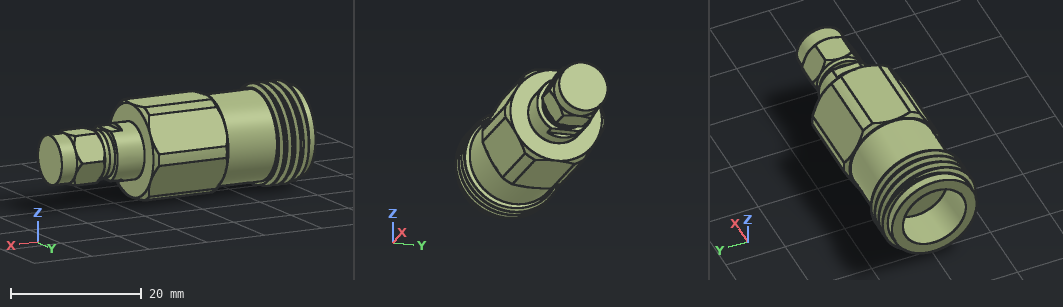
import cadquery as cq
import math

total_length = 42.4
thread_start = 1.55
thread_end = 6.75
main_hex_start = 15.25
main_hex_end = 28.35
flats_start = 31.1
collar_end = 33.05
nut_start = 34.0
nut_hex_start = 34.85
nut_hex_end = 39.8

barrel_radius = 14.3 / 2
bore_radius = 5.3
bore_depth = thread_end

thread_radius = 16.0 / 2
thread_root_radius = 7.25
thread_pitch = 4.3 / 3
thread_crest_width = 0.15
thread_base_width = 1.05
thread_crest_top = 1.95
root_overlap = 0.13

main_hex_flats = 14.68
main_hex_radius = thread_radius

collar_radius = 4.5
collar_flats = 7.8
neck_large_radius = 3.7
neck_small_radius = 3.1

nut_hex_flats = collar_flats
nut_radius = nut_hex_flats / 2
nut_lead_in_length = 0.25
nut_lead_in_depth = 0.05


def cylinder(start, end, radius):
    """Solid cylinder about the X axis."""
    return cq.Workplane("YZ", origin=(start, 0, 0)).circle(radius).extrude(end - start)


def chamfered_hexagon(start, end, across_flats, outer_radius):
    """Hexagon with flats at +Z and -Z, turned round and chamfered at 45 degrees at both ends."""
    corner_diameter = across_flats / math.cos(math.pi / 6)
    prism = cq.Workplane("YZ", origin=(start, 0, 0)).polygon(6, corner_diameter).extrude(end - start)
    chamfer = outer_radius - across_flats / 2
    return prism.intersect(cylinder(start, end, outer_radius).edges().chamfer(chamfer))


def thread():
    """Threaded core: a right-handed ridge of trapezoid section, cut square at both ends."""
    lead_in = 2 * thread_pitch
    helix_start = thread_crest_top - lead_in
    helix_length = thread_end - thread_start + 2 * lead_in
    helix = cq.Wire.makeHelix(
        thread_pitch, helix_length, thread_root_radius,
        center=cq.Vector(0, 0, 0), dir=cq.Vector(0, 0, 1),
    )
    flank_slope = (thread_base_width - thread_crest_width) / 2 / (thread_radius - thread_root_radius)
    half_foot = thread_base_width / 2 + flank_slope * root_overlap
    half_crest = thread_crest_width / 2
    foot_radius = thread_root_radius - root_overlap
    ridge = (
        cq.Workplane("XZ")
        .polyline([
            (foot_radius, -half_foot),
            (thread_radius, -half_crest),
            (thread_radius, half_crest),
            (foot_radius, half_foot),
        ])
        .close()
        .sweep(cq.Workplane(helix), isFrenet=True)
    )
    ridge = ridge.rotate((0, 0, 0), (0, 1, 0), 90).rotate((0, 0, 0), (1, 0, 0), 180)
    ridge = ridge.translate((helix_start, 0, 0))
    core = cylinder(helix_start - thread_pitch, helix_start + helix_length + thread_pitch, thread_root_radius)
    trim_width = 3 * thread_radius
    trim_block = cq.Workplane("XY").box(
        thread_end - thread_start, trim_width, trim_width, centered=(False, True, True)
    ).translate((thread_start, 0, 0))
    return core.union(ridge).intersect(trim_block)


def collar():
    """Round collar with flats at +Z and -Z next to its free end."""
    body = cylinder(main_hex_end, collar_end, collar_radius)
    flats = cq.Workplane("XY").box(
        collar_end - flats_start, 2 * collar_radius, collar_flats, centered=(False, True, True)
    ).translate((flats_start, 0, 0))
    return cylinder(main_hex_end, flats_start, collar_radius).union(body.intersect(flats))


def neck():
    """Tapered neck between the collar and the nut."""
    return (
        cq.Workplane("XY")
        .polyline([
            (collar_end, 0),
            (collar_end, neck_large_radius),
            (nut_start, neck_small_radius),
            (nut_start, 0),
        ])
        .close()
        .revolve(360, (0, 0, 0), (1, 0, 0))
    )


def nut():
    """Round nut with a hexagonal grip."""
    body = cylinder(nut_start, total_length, nut_radius)
    body = body.faces("<X").edges().chamfer(nut_lead_in_length, nut_lead_in_depth)
    grip = chamfered_hexagon(
        nut_hex_start, nut_hex_end, nut_hex_flats, nut_hex_flats / 2 / math.cos(math.pi / 6)
    )
    return body.union(grip)


barrel = cylinder(0, main_hex_start, barrel_radius)
main_hex = chamfered_hexagon(main_hex_start, main_hex_end, main_hex_flats, main_hex_radius)

result = (
    barrel.union(thread())
    .union(main_hex)
    .union(collar())
    .union(neck())
    .union(nut())
    .cut(cylinder(0, bore_depth, bore_radius))
)